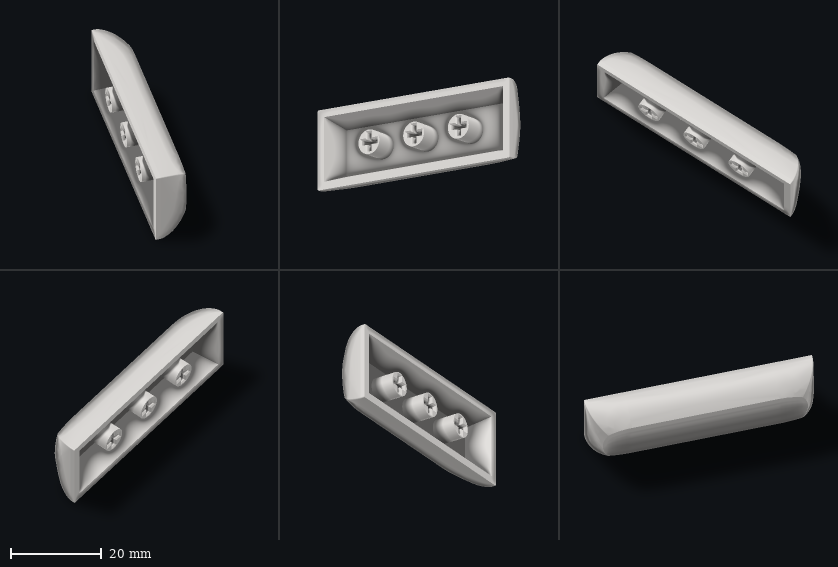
import cadquery as cq
import math

length = 51.45
width = 18.2
height = 7.9

band_height = 1.15
corner_radius = 0.25

wall_radius = 9.7
straight_half_length = 16.6
corner_pullback = 1.05
body_levels = 4
trim_allowance = 0.3

dish_floor = 7.25
dish_half_width = 6.4
dish_depth = 0.45
dish_end_rise = 0.35
dish_end_length = 5.5
dish_half_span = 10.3
cutter_height = 3.1

rim_wall = 1.75
cavity_inset = 2.15
cavity_depth = 5.55

stem_diameter = 5.6
stem_pitch = 12.0
cross_span_x = 4.8
cross_span_z = 4.95
cross_arm = 1.8
lead_in_width = 0.35
lead_in_depth = 0.3
cross_depth = 3.6


def plane_at(y):
    """Plane across the part at height y, with local axes along X and Z."""
    return cq.Plane(origin=(0, y, 0), xDir=(1, 0, 0), normal=(0, -1, 0))


def body_outline(y):
    """Closed outline of the curved body at height y, with bowed ends and pulled-in corners."""
    rise = y - band_height
    inset = wall_radius - math.sqrt(wall_radius**2 - rise**2)
    pullback = corner_pullback * rise / (height - band_height)
    end_x = length / 2 - inset
    side_z = width / 2 - inset
    corner_x = end_x - pullback
    corner_z = side_z - pullback
    shoulder_x = (straight_half_length + corner_x) / 2
    shoulder_z = side_z - pullback / 4

    def at(x, z):
        return cq.Vector(x, y, z)

    edges = []
    for s in (1, -1):
        near_side = at(s * straight_half_length, -s * side_z)
        near_shoulder = at(s * shoulder_x, -s * shoulder_z)
        near_corner = at(s * corner_x, -s * corner_z)
        end_middle = at(s * end_x, 0)
        far_corner = at(s * corner_x, s * corner_z)
        far_shoulder = at(s * shoulder_x, s * shoulder_z)
        far_side = at(s * straight_half_length, s * side_z)
        edges.append(cq.Edge.makeLine(at(-s * straight_half_length, -s * side_z), near_side))
        edges.append(cq.Edge.makeSpline([near_side, near_shoulder, near_corner]))
        edges.append(cq.Edge.makeSpline([near_corner, end_middle, far_corner]))
        edges.append(cq.Edge.makeSpline([far_corner, far_shoulder, far_side]))
    return cq.Wire.assembleEdges(edges)


def curved_body():
    top = height + trim_allowance
    step = (top - band_height) / (body_levels - 1)
    outlines = [body_outline(band_height + i * step) for i in range(body_levels)]
    body = cq.Workplane(cq.Solid.makeLoft(outlines))
    end_zone = (straight_half_length + length / 2) / 2
    corner_edges = [
        edge
        for edge in body.edges().vals()
        if edge.BoundingBox().ylen > band_height and abs(edge.Center().x) > end_zone
    ]
    return body.newObject(corner_edges).fillet(corner_radius)


def band():
    block = cq.Workplane(plane_at(0)).rect(length, width).extrude(-band_height)
    return block.edges("|Y").fillet(corner_radius)


def dish_cutter():
    """Hollow across Z, straight along the middle and curving upward towards both ends."""
    rise_radius = (dish_end_length**2 + dish_end_rise**2) / (2 * dish_end_rise)
    reach = 2 * dish_end_length

    def floor_at(x):
        return dish_floor + rise_radius - math.sqrt(rise_radius**2 - x**2)

    end_x = straight_half_length + reach
    mid_x = straight_half_length + reach / 2
    path = (
        cq.Workplane("XY")
        .moveTo(-end_x, floor_at(reach))
        .threePointArc((-mid_x, floor_at(reach / 2)), (-straight_half_length, dish_floor))
        .lineTo(straight_half_length, dish_floor)
        .threePointArc((mid_x, floor_at(reach / 2)), (end_x, floor_at(reach)))
    )
    arc_radius = (dish_half_width**2 + dish_depth**2) / (2 * dish_depth)
    edge_rise = arc_radius - math.sqrt(arc_radius**2 - dish_half_span**2)
    edge_y = floor_at(reach) + edge_rise
    end_plane = cq.Plane(origin=(-end_x, 0, 0), xDir=(0, 0, 1), normal=(-1, 0, 0))
    section = (
        cq.Workplane(end_plane)
        .moveTo(-dish_half_span, edge_y)
        .threePointArc((0, floor_at(reach)), (dish_half_span, edge_y))
        .lineTo(dish_half_span, edge_y + cutter_height)
        .lineTo(-dish_half_span, edge_y + cutter_height)
        .close()
    )
    return section.sweep(path)


def cavity():
    mouth_x = length - 2 * rim_wall
    mouth_z = width - 2 * rim_wall
    return (
        cq.Workplane(plane_at(0))
        .rect(mouth_x, mouth_z)
        .workplane(offset=-cavity_depth)
        .rect(mouth_x - 2 * cavity_inset, mouth_z - 2 * cavity_inset)
        .loft()
    )


def cross_slot(x, size_x, size_z):
    """One bar of a stem's cross: a bevelled mouth over a straight slot."""
    narrow_x = size_x - 2 * lead_in_width
    narrow_z = size_z - 2 * lead_in_width
    mouth = cq.Workplane(plane_at(0)).center(x, 0).rect(size_x, size_z)
    mouth = mouth.workplane(offset=-lead_in_depth).rect(narrow_x, narrow_z).loft()
    slot = cq.Workplane(plane_at(0)).center(x, 0).rect(narrow_x, narrow_z).extrude(-cross_depth)
    return mouth.union(slot)


def stem(x):
    post = cq.Workplane(plane_at(0)).center(x, 0).circle(stem_diameter / 2).extrude(-cavity_depth)
    post = post.cut(cross_slot(x, cross_span_x, cross_arm))
    return post.cut(cross_slot(x, cross_arm, cross_span_z))


result = band().union(curved_body()).cut(dish_cutter()).cut(cavity())
for stem_x in (-stem_pitch, 0, stem_pitch):
    result = result.union(stem(stem_x))